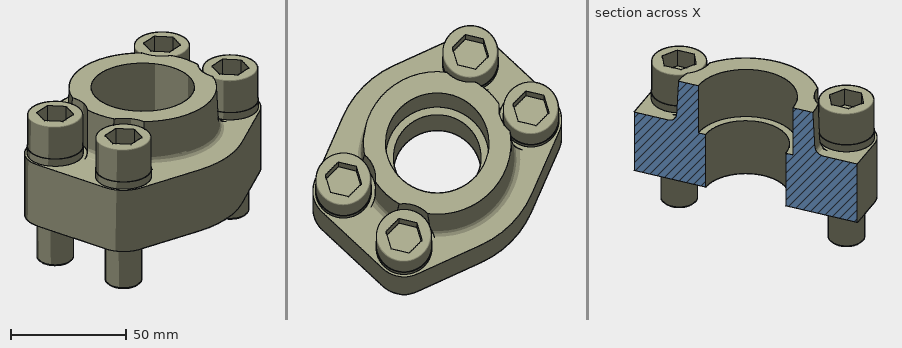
import cadquery as cq
import math

plate_thickness = 30.0
side_radius = 44.5
plate_length = 106.0

bolt_spacing_x = 36.5
bolt_spacing_y = 79.4
bolt_x = bolt_spacing_x / 2
bolt_y = bolt_spacing_y / 2
corner_radius = plate_length / 2 - bolt_y

hub_height = 21.0
hub_top_diameter = 64.0
hub_draft_angle = 3.0
hub_root_fillet = 4.0
spotface_diameter = 28.0
bore_diameter = 38.0
socket_diameter = 44.84
socket_depth = 24.0

washer_diameter = 24.4
washer_thickness = 3.5
head_diameter = 24.0
head_height = 16.0
head_edge_radius = 0.8
hex_across_flats = 14.0
hex_depth = 8.0
shank_diameter = 16.0
shank_length = 55.0
shank_tip_chamfer = 1.0

hub_top = plate_thickness + hub_height
washer_top = plate_thickness + washer_thickness
bolt_centers = [(sx * bolt_x, sy * bolt_y) for sx in (-1, 1) for sy in (-1, 1)]


def cylinder(diameter, bottom, height):
    return cq.Workplane("XY").workplane(offset=bottom).circle(diameter / 2).extrude(height)


def make_plate():
    center_distance = math.hypot(bolt_x, bolt_y)
    normal = math.atan2(bolt_y, bolt_x) - math.acos((side_radius - corner_radius) / center_distance)
    corner_mid = (normal + math.pi / 2) / 2

    def corner_point(angle, sx, sy):
        x = bolt_x + corner_radius * math.cos(angle)
        y = bolt_y + corner_radius * math.sin(angle)
        return (sx * x, sy * y)

    def side_point(sx, sy):
        return (sx * side_radius * math.cos(normal), sy * side_radius * math.sin(normal))

    outline = (
        cq.Workplane("XY")
        .moveTo(*side_point(1, -1))
        .threePointArc((side_radius, 0), side_point(1, 1))
        .lineTo(*corner_point(normal, 1, 1))
        .threePointArc(corner_point(corner_mid, 1, 1), corner_point(math.pi / 2, 1, 1))
        .lineTo(*corner_point(math.pi / 2, -1, 1))
        .threePointArc(corner_point(corner_mid, -1, 1), corner_point(normal, -1, 1))
        .lineTo(*side_point(-1, 1))
        .threePointArc((-side_radius, 0), side_point(-1, -1))
        .lineTo(*corner_point(normal, -1, -1))
        .threePointArc(corner_point(corner_mid, -1, -1), corner_point(math.pi / 2, -1, -1))
        .lineTo(*corner_point(math.pi / 2, 1, -1))
        .threePointArc(corner_point(corner_mid, 1, -1), corner_point(normal, 1, -1))
        .close()
    )
    return outline.extrude(plate_thickness)


def make_hub():
    draft = math.radians(hub_draft_angle)
    top_radius = hub_top_diameter / 2
    tangent_z = plate_thickness + hub_root_fillet * (1 - math.sin(draft))
    tangent_radius = top_radius + (hub_top - tangent_z) * math.tan(draft)
    arc_center_radius = tangent_radius + hub_root_fillet * math.cos(draft)
    arc_center_z = plate_thickness + hub_root_fillet
    arc_mid = (math.pi / 2 - draft) / 2 + draft
    profile = (
        cq.Workplane("XZ")
        .moveTo(0, plate_thickness)
        .lineTo(arc_center_radius, plate_thickness)
        .threePointArc(
            (
                arc_center_radius - hub_root_fillet * math.cos(arc_mid),
                arc_center_z - hub_root_fillet * math.sin(arc_mid),
            ),
            (tangent_radius, tangent_z),
        )
        .lineTo(top_radius, hub_top)
        .lineTo(0, hub_top)
        .close()
    )
    hub = profile.revolve(360, (0, 0, 0), (0, 1, 0))
    for x, y in bolt_centers:
        hub = hub.cut(cylinder(spotface_diameter, plate_thickness, hub_height).translate((x, y, 0)))
    return hub


def make_bolt():
    washer = cylinder(washer_diameter, plate_thickness, washer_thickness)
    shank = cylinder(shank_diameter, washer_top - shank_length, shank_length)
    shank = shank.faces("<Z").chamfer(shank_tip_chamfer)
    head = cylinder(head_diameter, washer_top, head_height).faces(">Z").edges().fillet(head_edge_radius)
    hex_socket = (
        cq.Workplane("XY")
        .workplane(offset=washer_top + head_height - hex_depth)
        .polygon(6, hex_across_flats / math.cos(math.pi / 6))
        .extrude(hex_depth)
        .rotate((0, 0, 0), (0, 0, 1), 90)
    )
    return washer.union(shank).union(head.cut(hex_socket))


def make_part():
    part = make_plate().union(make_hub())
    part = part.cut(cylinder(bore_diameter, 0, hub_top))
    part = part.cut(cylinder(socket_diameter, hub_top - socket_depth, socket_depth))
    bolt = make_bolt()
    for x, y in bolt_centers:
        part = part.union(bolt.translate((x, y, 0)))
    return part


result = make_part()